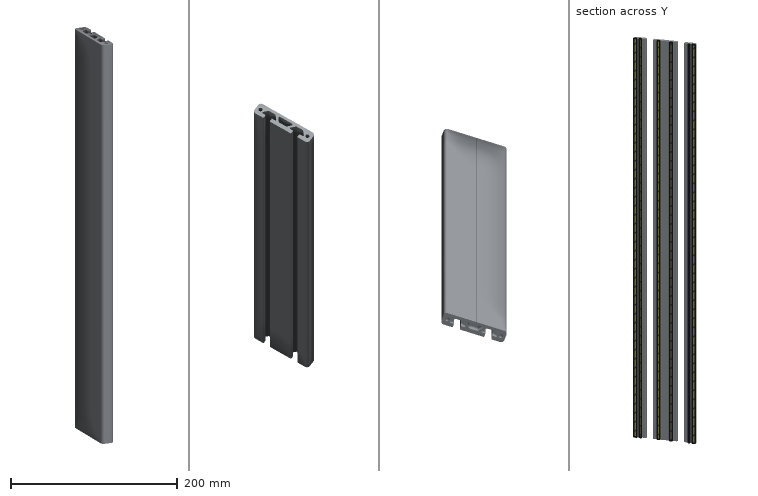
import cadquery as cq

WIDTH = 80.0
THICKNESS = 16.0
LENGTH = 500.0
CORNER_RADIUS = 4.0

SLOT_PITCH = 40.0
SLOT_MOUTH = 8.8
SLOT_INNER = 20.0
SLOT_FLOOR = 9.7
SLOT_DEPTH = 12.0
LIP_THICKNESS = 5.0
SLOT_SIDE = 1.4
MOUTH_RADIUS = 1.15
LIP_RADIUS = 0.6
SLOT_SIDE_RADIUS = 1.1
SLOT_FLOOR_RADIUS = 0.3

CHAMBER_TOP = 11.2
CHAMBER_BOTTOM = 19.8
CHAMBER_SIDE = 1.7
CHAMBER_WALL = 5.2
CHAMBER_BASE = 3.6
CHAMBER_TOP_RADIUS = 3.0
CHAMBER_BOTTOM_RADIUS = 1.0

BORE_DIAMETER = 5.0
BORE_SPACING = 68.0

GROOVE_WIDTH = 0.6
GROOVE_DEPTH = 0.5

BACK = THICKNESS / 2
FRONT = -THICKNESS / 2
LIP_Y = BACK - LIP_THICKNESS
SLOT_FLOOR_Y = BACK - SLOT_DEPTH
CHAMBER_TOP_Y = BACK - CHAMBER_WALL
CHAMBER_FLOOR_Y = FRONT + CHAMBER_BASE


def prism(points):
    """Full-length prism on a closed outline in the XY plane."""
    return cq.Workplane("XY").polyline(points).close().extrude(LENGTH)


def mirrored(half):
    """Close a right-hand half outline with its mirror image about X = 0."""
    return half + [(-x, y) for x, y in reversed(half)]


def round_pair(solid, half_width, y, radius, center_x=0.0):
    """Round the two lengthwise edges at center_x +/- half_width and height y."""
    for side in (-1, 1):
        middle = (center_x + side * half_width, y, LENGTH / 2)
        solid = solid.edges(cq.selectors.NearestToPointSelector(middle)).fillet(radius)
    return solid


def body():
    block = cq.Workplane("XY").rect(WIDTH, THICKNESS).extrude(LENGTH)
    return block.edges("|Z").fillet(CORNER_RADIUS)


def t_slot(center_x):
    """T-slot void with vertical upper sides that taper in to a narrower floor."""
    void = prism(mirrored([
        (SLOT_MOUTH / 2, BACK),
        (SLOT_MOUTH / 2, LIP_Y),
        (SLOT_INNER / 2, LIP_Y),
        (SLOT_INNER / 2, LIP_Y - SLOT_SIDE),
        (SLOT_FLOOR / 2, SLOT_FLOOR_Y),
    ]))
    void = round_pair(void, SLOT_INNER / 2, LIP_Y, SLOT_SIDE_RADIUS)
    void = round_pair(void, SLOT_FLOOR / 2, SLOT_FLOOR_Y, SLOT_FLOOR_RADIUS)
    void = round_pair(void, SLOT_MOUTH / 2, LIP_Y, LIP_RADIUS)
    return void.translate((center_x, 0, 0))


def chamber():
    void = prism(mirrored([
        (CHAMBER_TOP / 2, CHAMBER_TOP_Y),
        (CHAMBER_BOTTOM / 2, CHAMBER_FLOOR_Y + CHAMBER_SIDE),
        (CHAMBER_BOTTOM / 2, CHAMBER_FLOOR_Y),
    ]))
    void = round_pair(void, CHAMBER_TOP / 2, CHAMBER_TOP_Y, CHAMBER_TOP_RADIUS)
    return round_pair(void, CHAMBER_BOTTOM / 2, CHAMBER_FLOOR_Y, CHAMBER_BOTTOM_RADIUS)


def core_bore(center_x):
    return cq.Workplane("XY").center(center_x, 0).circle(BORE_DIAMETER / 2).extrude(LENGTH)


def marking_groove():
    return prism([
        (-GROOVE_WIDTH / 2, FRONT),
        (0, FRONT + GROOVE_DEPTH),
        (GROOVE_WIDTH / 2, FRONT),
    ])


result = body().cut(chamber()).cut(marking_groove())
for side in (-1, 1):
    slot_x = side * SLOT_PITCH / 2
    result = result.cut(t_slot(slot_x))
    result = round_pair(result, SLOT_MOUTH / 2, BACK, MOUTH_RADIUS, slot_x)
    result = result.cut(core_bore(side * BORE_SPACING / 2))